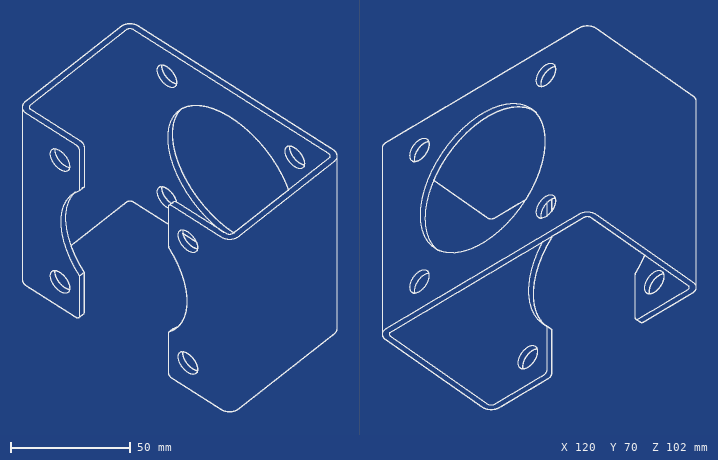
import cadquery as cq

width = 120.0
depth = 70.0
height = 102.0

thickness = 3.0
outer_bend_radius = 5.0
inner_bend_radius = outer_bend_radius - thickness

opening_width = 50.0
flange_corner_radius = 2.0

bore_diameter = 71.0
bolt_hole_diameter = 11.0
bolt_spacing = 72.0


def rounded_block(size_x, size_y, corner_radius):
    """Centred block of full height with rounded vertical edges."""
    return cq.Workplane("XY").box(size_x, size_y, height).edges("|Z").fillet(corner_radius)


def bent_channel():
    """Rounded tube with the front wall opened between two flanges."""
    outside = rounded_block(width, depth, outer_bend_radius)
    inside = rounded_block(width - 2 * thickness, depth - 2 * thickness, inner_bend_radius)
    opening = cq.Workplane("XY").box(opening_width, depth, height).translate((0, -depth / 2, 0))
    return outside.cut(inside).cut(opening)


def round_flange_corners(body):
    """Round the top and bottom corners at the free edge of each flange."""
    reach = opening_width / 2 + flange_corner_radius
    corner_zone = cq.selectors.BoxSelector(
        (-reach, -depth, -height),
        (reach, -depth / 2 + 2 * thickness, height),
    )
    return body.edges("|Y").edges(corner_zone).fillet(flange_corner_radius)


def hole_cutter():
    """Bore and bolt holes, running along Y through the whole depth."""
    bore = cq.Workplane("XZ").circle(bore_diameter / 2).extrude(depth, both=True)
    bolts = (
        cq.Workplane("XZ")
        .rect(bolt_spacing, bolt_spacing, forConstruction=True)
        .vertices()
        .circle(bolt_hole_diameter / 2)
        .extrude(depth, both=True)
    )
    return bore.union(bolts)


result = round_flange_corners(bent_channel()).cut(hole_cutter())